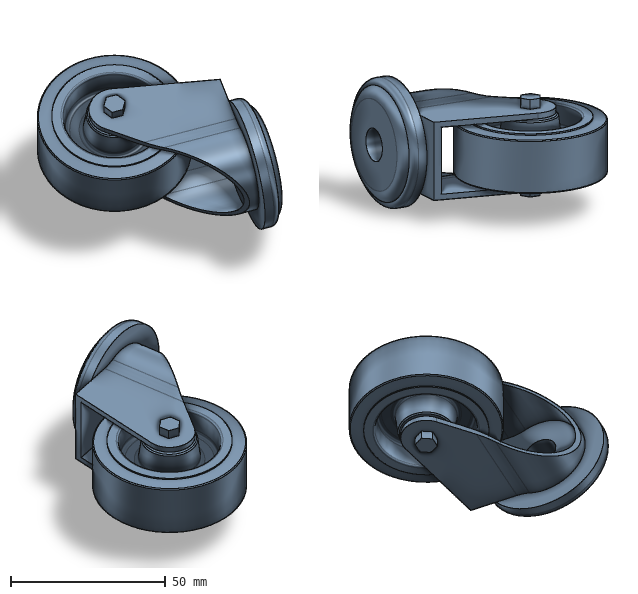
import cadquery as cq
import math

WHEEL_R = 50.0 / 2
TREAD_HALF = 9.0
TREAD_CHAMFER = 0.35
TREAD_INNER_HALF = 9.4
RIM_R = 20.3
RIM_HALF = 9.9
RIM_BORE_R = 17.3
RIM_EDGE_DEPTH = 0.6
POCKET_TOP_R = 16.65
POCKET_BASE_R = 15.95
POCKET_FLOOR_R = 14.5
POCKET_FLOOR_HALF = 2.0
POCKET_ROUND = 1.4
HUB_FILLET_R = 11.45
HUB_FILLET = 1.35
HUB_R = 9.15
HUB_HALF = 10.7
HUB_LIP = 0.4

AXLE_R = 6.5 / 2
AXLE_HALF = 16.45
HEX_ACROSS_FLATS = 6.3

OVERALL_X = 71.5
OVERALL_Y = 69.0
PLATE_R = 43.0 / 2
SWIVEL_X = OVERALL_X - WHEEL_R - PLATE_R
PLATE_BASE_Y = 36.3
PLATE_EDGE_Y = 39.4
PLATE_STEP_R = 19.2
PLATE_STEP_Y = 41.7
PLATE_TOP_R = 15.2
PLATE_TOP_Y = OVERALL_Y - WHEEL_R
CROWN_BULGE = 0.5
PLATE_HOLE_R = 11.0 / 2

ARM_HALF = 13.2
ARM_THICKNESS = 1.9
ARM_END_R = 8.3
FORK_LEFT_X = -1.0
BACK_R = 14.9
BACK_INNER_R = 13.6
BLEND_X = 15.5
WEB_THICKNESS = 2.6
BACK_CORNER_Y = 33.2


def make_wheel():
    """Revolve the upper half profile about Z and mirror it."""
    slant = math.sqrt(0.5)
    pocket_mid = (POCKET_BASE_R - POCKET_ROUND * (1 - slant),
                  POCKET_FLOOR_HALF + POCKET_ROUND * (1 - slant))
    fillet_top_r = HUB_FILLET_R - HUB_FILLET
    fillet_mid = (HUB_FILLET_R - HUB_FILLET * slant,
                  POCKET_FLOOR_HALF + HUB_FILLET * (1 - slant))
    edge_mid = (RIM_BORE_R - (RIM_BORE_R - POCKET_TOP_R) * slant,
                RIM_HALF - RIM_EDGE_DEPTH * (1 - slant))
    half = (
        cq.Workplane("XZ")
        .moveTo(0, 0)
        .lineTo(WHEEL_R, 0)
        .lineTo(WHEEL_R, TREAD_HALF - TREAD_CHAMFER)
        .lineTo(WHEEL_R - TREAD_CHAMFER, TREAD_HALF)
        .lineTo(RIM_R, TREAD_INNER_HALF)
        .lineTo(RIM_R, RIM_HALF)
        .lineTo(RIM_BORE_R, RIM_HALF)
        .threePointArc(edge_mid, (POCKET_TOP_R, RIM_HALF - RIM_EDGE_DEPTH))
        .lineTo(POCKET_BASE_R, POCKET_FLOOR_HALF + POCKET_ROUND)
        .threePointArc(pocket_mid, (POCKET_FLOOR_R, POCKET_FLOOR_HALF))
        .lineTo(HUB_FILLET_R, POCKET_FLOOR_HALF)
        .threePointArc(fillet_mid, (fillet_top_r, POCKET_FLOOR_HALF + HUB_FILLET))
        .lineTo(HUB_R, HUB_HALF - HUB_LIP)
        .lineTo(HUB_R - HUB_LIP, HUB_HALF)
        .lineTo(0, HUB_HALF)
        .close()
        .revolve(360, (0, 0), (0, 1))
    )
    return half.union(half.mirror("XY"))


def make_axle():
    """Round pin between the arms with a hexagonal end beyond each arm."""
    pin = cq.Workplane("XY").circle(AXLE_R).extrude(ARM_HALF, both=True)
    across_corners = HEX_ACROSS_FLATS / math.cos(math.pi / 6)
    hex_length = AXLE_HALF - ARM_HALF + ARM_THICKNESS
    head = (
        cq.Workplane("XY", origin=(0, 0, AXLE_HALF - hex_length))
        .transformed(rotate=(0, 0, 90))
        .polygon(6, across_corners)
        .extrude(hex_length)
    )
    return pin.union(head).union(head.mirror("XY"))


def make_plate():
    """Swivel plate with a rounded shoulder and a domed crown."""
    return (
        cq.Workplane("XY", origin=(SWIVEL_X, 0, 0))
        .moveTo(0, PLATE_BASE_Y)
        .lineTo(PLATE_R, PLATE_BASE_Y)
        .lineTo(PLATE_R, PLATE_EDGE_Y)
        .tangentArcPoint((PLATE_STEP_R, PLATE_STEP_Y), relative=False)
        .sagittaArc((PLATE_TOP_R, PLATE_TOP_Y), -CROWN_BULGE)
        .lineTo(0, PLATE_TOP_Y)
        .close()
        .revolve(360, (0, 0), (0, 1))
    )


def blend_radius(start_x, half_width, back_r):
    """Radius of an arc tangent to a straight arm face and to the round back."""
    run = SWIVEL_X - start_x
    return (run**2 + half_width**2 - back_r**2) / (2 * (back_r - half_width))


def keyhole(start_x, half_width, back_r, length):
    """Prism along +Y: straight arm faces that flare into a round back."""
    radius = blend_radius(start_x, half_width, back_r)
    centre_z = half_width + radius
    flare = math.atan2(SWIVEL_X - start_x, centre_z)
    mid_x = start_x + radius * math.sin(flare / 2)
    mid_z = centre_z - radius * math.cos(flare / 2)
    end_x = start_x + radius * math.sin(flare)
    end_z = centre_z - radius * math.cos(flare)
    open_x = -2 * ARM_END_R
    return (
        cq.Workplane("XZ", origin=(0, -ARM_END_R, 0))
        .moveTo(open_x, -half_width)
        .lineTo(start_x, -half_width)
        .threePointArc((mid_x, -mid_z), (end_x, -end_z))
        .threePointArc((SWIVEL_X + back_r, 0), (end_x, end_z))
        .threePointArc((mid_x, mid_z), (start_x, half_width))
        .lineTo(open_x, half_width)
        .close()
        .extrude(-length)
    )


def arm_tangent(x, y, side):
    """Point where the line from (x, y) touches the round arm end."""
    angle = math.atan2(y, x) + side * math.acos(ARM_END_R / math.hypot(x, y))
    return ARM_END_R * math.cos(angle), ARM_END_R * math.sin(angle)


def make_fork():
    """Hollow keyhole section trimmed to the side outline of the arms."""
    inner_half = ARM_HALF - ARM_THICKNESS
    height = ARM_END_R + PLATE_BASE_Y
    outer_blend = blend_radius(BLEND_X, ARM_HALF, BACK_R)
    inner_blend = outer_blend + ARM_THICKNESS
    inner_run_squared = (BACK_INNER_R + inner_blend) ** 2 - (inner_half + inner_blend) ** 2
    inner_start_x = SWIVEL_X - math.sqrt(inner_run_squared)
    outer = keyhole(BLEND_X, ARM_HALF, BACK_R, height)
    inner = keyhole(inner_start_x, inner_half, BACK_INNER_R, height - WEB_THICKNESS)

    back_x = SWIVEL_X + BACK_R
    outline = (
        cq.Workplane("XY", origin=(0, 0, -BACK_R))
        .moveTo(FORK_LEFT_X, PLATE_BASE_Y)
        .lineTo(*arm_tangent(FORK_LEFT_X, PLATE_BASE_Y, 1))
        .threePointArc((0, -ARM_END_R), arm_tangent(back_x, BACK_CORNER_Y, -1))
        .lineTo(back_x, BACK_CORNER_Y)
        .lineTo(back_x, PLATE_BASE_Y)
        .close()
        .extrude(2 * BACK_R)
    )
    return outer.cut(inner).intersect(outline)


def make_swivel_hole():
    """Hole through the web and the swivel plate."""
    return (
        cq.Workplane("XZ", origin=(SWIVEL_X, PLATE_BASE_Y - WEB_THICKNESS, 0))
        .circle(PLATE_HOLE_R)
        .extrude(-(PLATE_TOP_Y - PLATE_BASE_Y + WEB_THICKNESS))
    )


frame = make_fork().union(make_plate()).cut(make_swivel_hole())
result = frame.union(make_axle()).union(make_wheel())